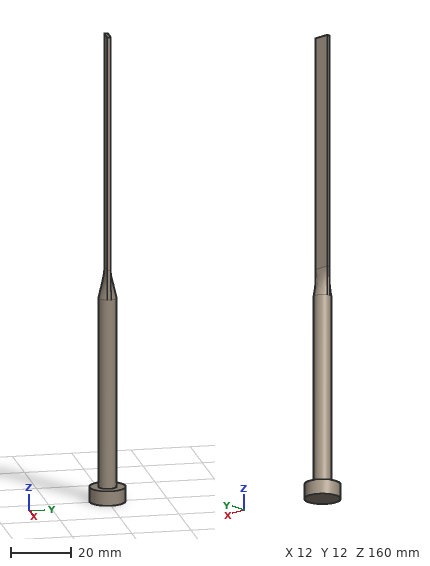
import cadquery as cq
import math

TOTAL_LENGTH = 160.0
HEAD_DIAMETER = 12.0
HEAD_HEIGHT = 5.0
SHAFT_DIAMETER = 6.0
BLADE_WIDTH = 5.5
BLADE_THICKNESS = 1.2
TRANSITION_LENGTH = 10.0

BLADE_LENGTH = TOTAL_LENGTH / 2
BLADE_START = TOTAL_LENGTH - BLADE_LENGTH
SHAFT_END = BLADE_START - TRANSITION_LENGTH


def make_head():
    return cq.Workplane("XY").circle(HEAD_DIAMETER / 2).extrude(HEAD_HEIGHT)


def make_shaft():
    base = cq.Workplane("XY").workplane(offset=HEAD_HEIGHT)
    return base.circle(SHAFT_DIAMETER / 2).extrude(SHAFT_END - HEAD_HEIGHT)


def make_transition():
    """Ruled loft from the round shaft to the flat blade.

    The shaft circle is split where the planes of the blade's flat faces cross it,
    so the narrow sides keep the blade thickness over the whole transition.
    """
    radius = SHAFT_DIAMETER / 2
    half_thickness = BLADE_THICKNESS / 2
    half_width = BLADE_WIDTH / 2
    split_x = math.sqrt(radius**2 - half_thickness**2)

    round_end = (
        cq.Workplane("XY", origin=(0, 0, SHAFT_END))
        .moveTo(split_x, -half_thickness)
        .threePointArc((radius, 0), (split_x, half_thickness))
        .threePointArc((0, radius), (-split_x, half_thickness))
        .threePointArc((-radius, 0), (-split_x, -half_thickness))
        .threePointArc((0, -radius), (split_x, -half_thickness))
        .close()
        .val()
    )
    flat_end = (
        cq.Workplane("XY", origin=(0, 0, BLADE_START))
        .moveTo(half_width, -half_thickness)
        .lineTo(half_width, half_thickness)
        .lineTo(-half_width, half_thickness)
        .lineTo(-half_width, -half_thickness)
        .close()
        .val()
    )
    return cq.Workplane(obj=cq.Solid.makeLoft([round_end, flat_end], True))


def make_blade():
    base = cq.Workplane("XY").workplane(offset=BLADE_START)
    return base.rect(BLADE_WIDTH, BLADE_THICKNESS).extrude(BLADE_LENGTH)


result = make_head().union(make_shaft()).union(make_transition()).union(make_blade())